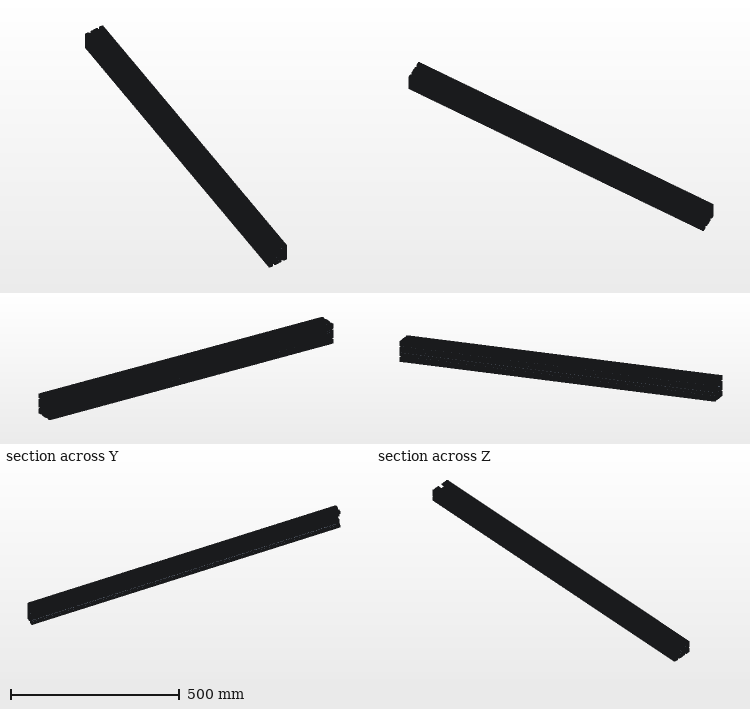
import cadquery as cq

LENGTH = 1000.0
SIDE = 60.0
CORNER_RADIUS = 2.0

SLOT_OPENING = 8.6
SLOT_INNER_WIDTH = 16.5
SLOT_DEPTH = 9.0
LIP_THICKNESS = 2.2

WEB_HALF_SPAN = 1.8

BORE_DIAMETER = 9.5
CORE_REACH = 5.9
BOSS_REACH = 6.8
BOSS_CHAMFER = 1.0

FACE_WALL = 2.8
CAVITY_END_WIDTH = 3.0
WEB_ROOT_DEPTH = 10.8
WEB_ROOT_STEP = 1.2

CHANNEL_WIDTH = 3.0
CHANNEL_INSET = 3.8

HALF_SIDE = SIDE / 2
CORE_SPACING = SIDE / 2
CORE_OFFSET = CORE_SPACING / 2
CHANNEL_OFFSET = HALF_SIDE - CHANNEL_INSET


def section():
    return cq.Workplane("YZ")


def run_along_bar(sketch):
    """Extrude a section over the whole length, centred on the origin."""
    return sketch.extrude(LENGTH / 2, both=True)


def mirrored_outline(right_half):
    """Close a (Y, Z) half outline, listed from bottom to top, by mirroring it about Z."""
    left_half = [(-y, z) for y, z in reversed(right_half)]
    return section().polyline(right_half + left_half).close()


def on_four_sides(body):
    """Fuse the body with its three quarter-turn copies about the X axis."""
    copies = body
    for angle in (90, 180, 270):
        copies = copies.union(body.rotate((0, 0, 0), (1, 0, 0), angle))
    return copies


def bar():
    return run_along_bar(section().rect(SIDE, SIDE)).edges("|X").fillet(CORNER_RADIUS)


def top_slots():
    """The two T-slots of the +Z face, with lower flanks that follow the diagonal webs."""
    half_inner = SLOT_INNER_WIDTH / 2
    half_floor = CORE_OFFSET - SLOT_DEPTH - WEB_HALF_SPAN
    floor = HALF_SIDE - SLOT_DEPTH
    lip_underside = HALF_SIDE - LIP_THICKNESS
    right_half = [
        (half_floor, floor),
        (half_inner, floor + half_inner - half_floor),
        (half_inner, lip_underside),
        (SLOT_OPENING / 2, lip_underside),
        (SLOT_OPENING / 2, HALF_SIDE),
    ]
    slot = run_along_bar(mirrored_outline(right_half))
    return slot.translate((0, -CORE_OFFSET, 0)).union(slot.translate((0, CORE_OFFSET, 0)))


def top_cavity():
    """Part of the central cavity that reaches from the X axis towards the +Z face."""
    core_face = CORE_OFFSET - CORE_REACH
    boss_face = CORE_OFFSET - BOSS_REACH
    chamfer_middle = boss_face + BOSS_CHAMFER / 2
    web_root = HALF_SIDE - WEB_ROOT_DEPTH
    right_half = [
        (0, 0),
        (chamfer_middle, chamfer_middle),
        (boss_face, boss_face + BOSS_CHAMFER),
        (boss_face, CORE_OFFSET),
        (core_face, CORE_OFFSET + BOSS_REACH - CORE_REACH),
        (core_face, web_root - WEB_ROOT_STEP),
        (boss_face, web_root),
        (CAVITY_END_WIDTH / 2, HALF_SIDE - FACE_WALL),
    ]
    return run_along_bar(mirrored_outline(right_half))


def core_bores():
    centres = section().rect(CORE_SPACING, CORE_SPACING, forConstruction=True).vertices()
    return run_along_bar(centres.circle(BORE_DIAMETER / 2))


def corner_channels():
    spacing = 2 * CHANNEL_OFFSET
    centres = section().rect(spacing, spacing, forConstruction=True).vertices()
    return run_along_bar(centres.rect(CHANNEL_WIDTH, CHANNEL_WIDTH))


result = (
    bar()
    .cut(on_four_sides(top_slots()))
    .cut(on_four_sides(top_cavity()))
    .cut(core_bores())
    .cut(corner_channels())
)